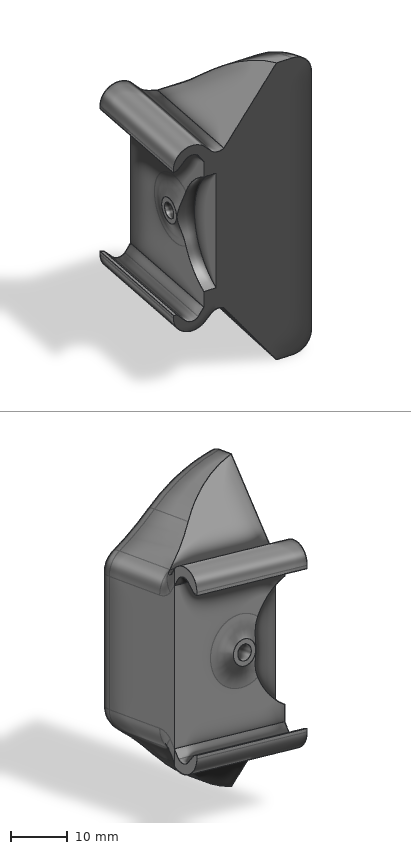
import cadquery as cq
import math

length = 25.0
depth = 28.4
half_height = 30.7

face_y = 6.25
ramp_foot_y = 10.4
ramp_foot_z = 16.5
ramp_top_y = 21.2
back_radius = 3.95
side_flat_z = 12.3
corner_depth = 2.35
wing_bend_x = 10.25
wing_bend_z = 22.65

hook_y = 3.8
hook_z = 15.35
hook_outer_radius = 3.8
hook_inner_radius = 1.85
hook_tip_z = 14.75
under_hook_z = 15.05
hook_tip_width = 0.8
valley_start_y = 7.75
valley_start_z = 16.85

boss_x = 15.0
boss_base_radius = 6.8
boss_top_radius = 2.5
boss_height = 1.1
hole_radius = 1.55

recess_radius = 13.2
recess_x = 30.85
recess_depth = 2.5

corner_height = ramp_foot_z - side_flat_z
corner_turn = 45.0
runout_height = 3.25
runout_top_z = 18.35
runout_depth = 0.05
margin = 0.6


def mirrored_in_z(shape):
    return shape.union(shape.mirror("XY"))


def make_rear_body():
    """Upper half of the rear body: S-shaped outline, rounded back and sloping front."""
    outline = (
        cq.Workplane("XZ", origin=(0, ramp_foot_y, 0))
        .moveTo(0, 0)
        .lineTo(0, side_flat_z)
        .tangentArcPoint((corner_depth, ramp_foot_z), relative=False)
        .tangentArcPoint((wing_bend_x, wing_bend_z), relative=False)
        .tangentArcPoint((length, half_height), relative=False)
        .lineTo(length, 0)
        .close()
    )
    body = outline.extrude(ramp_foot_y - depth)
    back_edges = body.faces(">Y").edges().filter(
        lambda edge: edge.Center().z > margin and edge.Center().x < length - margin
    )
    body = body.newObject(back_edges.vals()).fillet(back_radius)
    ramp_cut = (
        cq.Workplane("YZ")
        .polyline([(ramp_foot_y, ramp_foot_z), (ramp_top_y, half_height), (ramp_foot_y, half_height)])
        .close()
        .extrude(length)
    )
    return body.cut(ramp_cut)


def make_clip():
    """Upper half of the front body with its hook, as one constant section along X."""
    diagonal = math.sqrt(0.5)
    outer_join = hook_outer_radius * diagonal
    inner_join = hook_inner_radius * diagonal
    tip_run = hook_y - inner_join - hook_tip_width
    return (
        cq.Workplane("YZ")
        .moveTo(ramp_foot_y, 0)
        .lineTo(face_y, 0)
        .lineTo(face_y, under_hook_z)
        .lineTo(hook_y + inner_join, hook_z + inner_join)
        .threePointArc((hook_y, hook_z + hook_inner_radius), (hook_y - inner_join, hook_z + inner_join))
        .lineTo(hook_tip_width, hook_z + inner_join - tip_run)
        .lineTo(0, hook_tip_z)
        .lineTo(hook_y - hook_outer_radius, hook_z)
        .threePointArc(
            (hook_y, hook_z + hook_outer_radius), (hook_y + outer_join, hook_z + outer_join)
        )
        .lineTo(valley_start_y, valley_start_z)
        .tangentArcPoint((ramp_foot_y, ramp_foot_z), relative=False)
        .close()
        .extrude(length)
    )


def corner_section(plane, depth_x, height):
    """Region outside a rounded corner; local x is X and local y points up to the corner top."""
    radius = (depth_x**2 + height**2) / (2 * depth_x)
    half_sweep = math.atan(depth_x / height)
    middle = (radius * (1 - math.cos(half_sweep)), radius * math.sin(half_sweep) - height)
    return (
        cq.Workplane(plane)
        .moveTo(-margin, 0)
        .lineTo(depth_x, 0)
        .threePointArc(middle, (0, -height))
        .lineTo(-margin, -height)
        .close()
    )


def make_corner_runout():
    """Tool that turns the rounded corner around the ramp foot, then fades it out at the hook."""
    foot = (0, ramp_foot_y, ramp_foot_z)
    angle = math.radians(corner_turn)
    turned_normal = (0, -math.cos(angle), math.sin(angle))
    start = cq.Plane(origin=foot, xDir=(1, 0, 0), normal=(0, -1, 0))
    turned = cq.Plane(origin=foot, xDir=(1, 0, 0), normal=turned_normal)
    end = cq.Plane(origin=(0, face_y, runout_top_z), xDir=(1, 0, 0), normal=(0, -1, 0))
    bend = corner_section(start, corner_depth, corner_height).revolve(
        corner_turn, (0, 0, 0), (-1, 0, 0)
    )
    first = corner_section(turned, corner_depth, corner_height).wire().val()
    last = corner_section(end, runout_depth, runout_height).wire().val()
    fade = cq.Workplane(cq.Solid.makeLoft([first, last], True))
    return bend.union(fade)


def make_boss():
    """Flared boss that rises tangentially from the front face."""
    flare_width = boss_base_radius - boss_top_radius
    flare_radius = (flare_width**2 + boss_height**2) / (2 * boss_height)
    half_sweep = math.atan(boss_height / flare_width)
    flare_middle = (
        boss_base_radius - flare_radius * math.sin(half_sweep),
        -flare_radius * (1 - math.cos(half_sweep)),
    )
    return (
        cq.Workplane("XY", origin=(boss_x, face_y, 0))
        .moveTo(0, 0)
        .lineTo(boss_base_radius, 0)
        .threePointArc(flare_middle, (boss_top_radius, -boss_height))
        .lineTo(0, -boss_height)
        .close()
        .revolve(360, (0, 0, 0), (0, 1, 0))
    )


def make_cylinder(center_x, radius, start_y, end_y):
    return (
        cq.Workplane("XZ", origin=(center_x, start_y, 0))
        .circle(radius)
        .extrude(start_y - end_y)
    )


clip = make_clip().cut(make_corner_runout())
result = mirrored_in_z(make_rear_body().union(clip))
result = result.union(make_boss())
result = result.cut(make_cylinder(recess_x, recess_radius, 0, face_y + recess_depth))
result = result.cut(make_cylinder(boss_x, hole_radius, 0, depth))